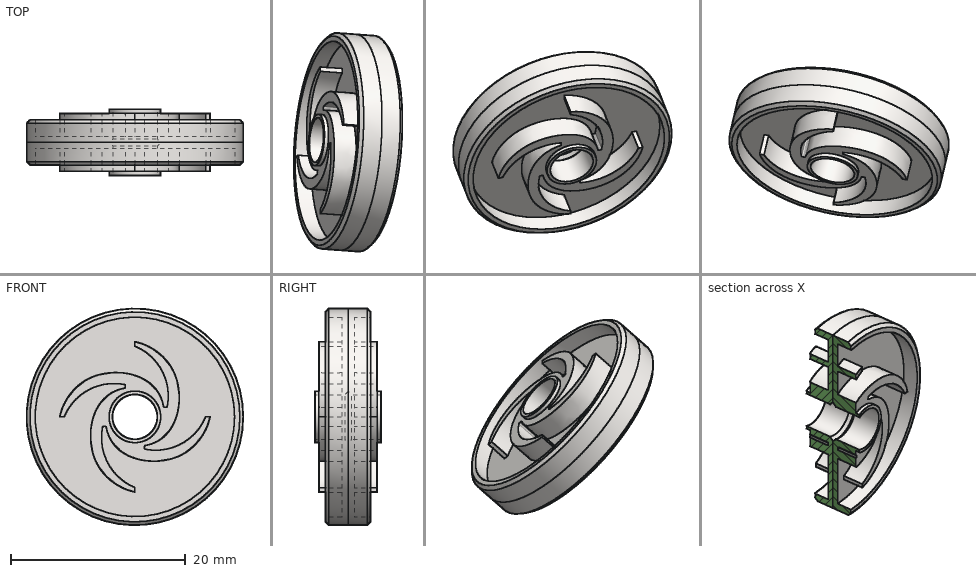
import cadquery as cq
import math


RIM_RADIUS = 24.8 / 2
RIM_BORE_RADIUS = 22.8 / 2
RIM_HALF_WIDTH = 5.2 / 2
CHAMFER = 0.4
WEB_HALF_THICKNESS = 0.7

HUB_RADIUS = 5.9 / 2
BORE_RADIUS = 5.1 / 2
HUB_HALF_LENGTH = 7.6 / 2

SPOKE_COUNT = 4
SPOKE_PITCH = 360 / SPOKE_COUNT
SPOKE_HALF_WIDTH = 6.65 / 2
TIP = (0, 8.6)
CONVEX_POINTS = [(2.09, 7.75), (4.11, 5.75), (5.07, 2.5), (3.95, -1.58), (1.09, -3.29)]
CONCAVE_CENTER = (-2.35, 2.38)
CONCAVE_RADIUS = 6.17
GAP_FLOOR_Z = 1.09
GAP_CORNER_RADIUS = 0.17
GAP_FLOOR_REACH = 5.0


def disc(radius, height):
    """A disc on the split plane that extends toward -Y."""
    return cq.Workplane("XZ").circle(radius).extrude(height)


def turned(point, angle):
    """Turn an (X, Z) point clockwise about the wheel axis."""
    a = math.radians(angle)
    x, z = point
    return (x * math.cos(a) + z * math.sin(a), z * math.cos(a) - x * math.sin(a))


def on_concave_edge(angle):
    x, z = CONCAVE_CENTER
    return (x + CONCAVE_RADIUS * math.cos(angle), z + CONCAVE_RADIUS * math.sin(angle))


def make_spokes():
    floor_angle = math.asin((GAP_FLOOR_Z - CONCAVE_CENTER[1]) / CONCAVE_RADIUS)
    tip_angle = math.acos((TIP[0] - CONCAVE_CENTER[0]) / CONCAVE_RADIUS)
    concave_floor = on_concave_edge(floor_angle)
    concave_middle = on_concave_edge((floor_angle + tip_angle) / 2)
    concave_tip = on_concave_edge(tip_angle)

    outline = cq.Workplane("XZ").moveTo(*concave_tip)
    for spoke in range(SPOKE_COUNT):
        turn = spoke * SPOKE_PITCH
        next_turn = turn + SPOKE_PITCH
        outline = outline.lineTo(*turned(TIP, turn))
        outline = outline.spline([turned(point, turn) for point in CONVEX_POINTS], includeCurrent=True)
        outline = outline.lineTo(*turned(concave_floor, next_turn))
        outline = outline.threePointArc(turned(concave_middle, next_turn), turned(concave_tip, next_turn))
    spokes = outline.close().extrude(SPOKE_HALF_WIDTH)

    gap_corners = spokes.edges("|Y").filter(
        lambda edge: math.hypot(edge.Center().x, edge.Center().z) < GAP_FLOOR_REACH
    )
    return gap_corners.fillet(GAP_CORNER_RADIUS)


def make_bore():
    bore = disc(BORE_RADIUS, HUB_HALF_LENGTH)
    flare = cq.Solid.makeCone(
        BORE_RADIUS + CHAMFER, BORE_RADIUS, CHAMFER, pnt=cq.Vector(0, 0, 0), dir=cq.Vector(0, -1, 0)
    )
    return bore.union(cq.Workplane(flare))


def make_front_half():
    rim = disc(RIM_RADIUS, RIM_HALF_WIDTH).faces("<Y").chamfer(CHAMFER)
    rim = rim.cut(disc(RIM_BORE_RADIUS, RIM_HALF_WIDTH))
    web = disc(RIM_BORE_RADIUS, WEB_HALF_THICKNESS)
    hub = disc(HUB_RADIUS, HUB_HALF_LENGTH)
    return rim.union(web).union(make_spokes()).union(hub).cut(make_bore())


front_half = make_front_half()
back_half = front_half.mirror("XZ")
result = cq.Compound.makeCompound([front_half.val(), back_half.val()])